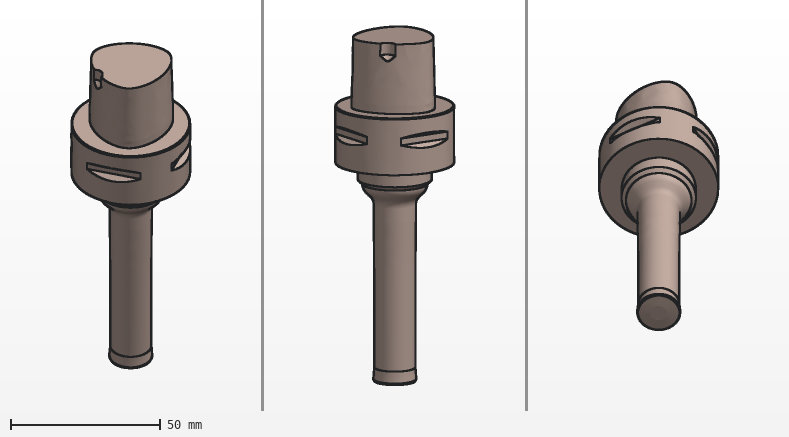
import cadquery as cq
import math

TOP_Z = 119.0
TAPER_BASE_Z = 97.8
POLYGON_RADIUS = 14.0
LOBE_HEIGHT = 1.0
TAPER_RATIO = 1 / 40
OUTLINE_POINTS = 36
POLYGON_TOP_RADIUS = POLYGON_RADIUS - TAPER_RATIO * (TOP_Z - TAPER_BASE_Z)

SLOT_RADIUS = 2.9
SLOT_DEPTH = 4.0
SLOT_INNER_Y = -10.8

FLANGE_DIAMETER = 40.0
FLANGE_TOP_Z = 95.1
FLANGE_BOTTOM_Z = 75.6
FLANGE_CHAMFER = 0.4
GROOVE_MID_Z = 87.0
GROOVE_FLOOR_HEIGHT = 2.4
GROOVE_FLOOR_DISTANCE = 17.6
GROOVE_SIDE_ANGLE = 30
GROOVE_COUNT = 4

COLLAR_DIAMETER = 25.0
NECK_DIAMETER = 22.0
COLLAR_BOTTOM_Z = 69.7
COLLAR_CHAMFER = (COLLAR_DIAMETER - NECK_DIAMETER) / 2
RELIEF_HEIGHT = 0.6
RELIEF_DEPTH = 0.1
NECK_TOP_Z = COLLAR_BOTTOM_Z - COLLAR_CHAMFER
SHOULDER_ANGLE = math.radians(45)
SHOULDER_RADIUS = 3.9

UPPER_SHANK_DIAMETER = 14.3
LOWER_SHANK_DIAMETER = 13.9
SHANK_TAPER_TOP_Z = 56.3
SHANK_TAPER_BOTTOM_Z = 35.9

HEAD_TOP_Z = 5.0
RIM_DIAMETER = 14.5
RIM_Z = 1.0
TIP_CONE_Z = 0.4
TIP_CONE_DIAMETER = 13.9
TIP_FLAT_DIAMETER = 5.7


def revolve_profile(profile):
    return profile.close().revolve(360, (0, 0, 0), (0, 1, 0))


def polygon_point(radius, angle):
    """Point whose tangent is normal to the angle, for support radius + lobe * cos(3 * angle)."""
    phase = 3 * (angle - math.pi / 2)
    support = radius + LOBE_HEIGHT * math.cos(phase)
    slope = -3 * LOBE_HEIGHT * math.sin(phase)
    x = support * math.cos(angle) - slope * math.sin(angle)
    y = support * math.sin(angle) + slope * math.cos(angle)
    return (x, y)


def polygon_outline(plane, radius):
    angles = [2 * math.pi * i / OUTLINE_POINTS for i in range(OUTLINE_POINTS)]
    return plane.spline([polygon_point(radius, angle) for angle in angles], periodic=True).close()


def make_taper():
    base = polygon_outline(cq.Workplane("XY").workplane(offset=FLANGE_TOP_Z), POLYGON_RADIUS)
    base = base.extrude(TAPER_BASE_Z - FLANGE_TOP_Z)
    cone = polygon_outline(cq.Workplane("XY").workplane(offset=TAPER_BASE_Z), POLYGON_RADIUS)
    cone = polygon_outline(cone.workplane(offset=TOP_Z - TAPER_BASE_Z), POLYGON_TOP_RADIUS).loft()
    return base.union(cone)


def make_slot():
    """Vertical round cutter with a 90-degree conical point, lying across the -Y wall."""
    floor_z = TOP_Z - SLOT_DEPTH
    profile = (
        cq.Workplane("XZ")
        .moveTo(0, TOP_Z)
        .lineTo(SLOT_RADIUS, TOP_Z)
        .lineTo(SLOT_RADIUS, floor_z)
        .lineTo(0, floor_z - SLOT_RADIUS)
    )
    return revolve_profile(profile).translate((0, SLOT_INNER_Y - SLOT_RADIUS, 0))


def make_groove(angle):
    """Flat-floored groove with flared sides, cut across the flange at the given angle."""
    depth = FLANGE_DIAMETER / 2 - GROOVE_FLOOR_DISTANCE
    outer_half = GROOVE_FLOOR_HEIGHT / 2 + depth * math.tan(math.radians(GROOVE_SIDE_ANGLE))
    inner_half = GROOVE_FLOOR_HEIGHT / 2
    return (
        cq.Workplane("XZ")
        .moveTo(GROOVE_FLOOR_DISTANCE, GROOVE_MID_Z - inner_half)
        .lineTo(FLANGE_DIAMETER / 2, GROOVE_MID_Z - outer_half)
        .lineTo(FLANGE_DIAMETER / 2, GROOVE_MID_Z + outer_half)
        .lineTo(GROOVE_FLOOR_DISTANCE, GROOVE_MID_Z + inner_half)
        .close()
        .extrude(FLANGE_DIAMETER / 2, both=True)
        .rotate((0, 0, 0), (0, 0, 1), angle)
    )


def make_flange():
    flange = (
        cq.Workplane("XY")
        .workplane(offset=FLANGE_BOTTOM_Z)
        .circle(FLANGE_DIAMETER / 2)
        .extrude(FLANGE_TOP_Z - FLANGE_BOTTOM_Z)
        .faces(">Z")
        .chamfer(FLANGE_CHAMFER)
    )
    step = 360 / GROOVE_COUNT
    for i in range(GROOVE_COUNT):
        flange = flange.cut(make_groove(step * (i + 0.5)))
    return flange


def make_shank():
    """Collar, rounded shoulder and shank as one turned profile."""
    collar = COLLAR_DIAMETER / 2
    neck = NECK_DIAMETER / 2
    upper_shank = UPPER_SHANK_DIAMETER / 2
    lower_shank = LOWER_SHANK_DIAMETER / 2

    arc_run = SHOULDER_RADIUS * (1 - math.cos(SHOULDER_ANGLE))
    arc_drop = SHOULDER_RADIUS * math.sin(SHOULDER_ANGLE)
    mid_run = SHOULDER_RADIUS * (1 - math.cos(SHOULDER_ANGLE / 2))
    mid_drop = SHOULDER_RADIUS * math.sin(SHOULDER_ANGLE / 2)
    cone_run = neck - upper_shank - 2 * arc_run
    shoulder_bottom_z = NECK_TOP_Z - 2 * arc_drop - cone_run / math.tan(SHOULDER_ANGLE)

    profile = (
        cq.Workplane("XZ")
        .moveTo(0, FLANGE_BOTTOM_Z)
        .lineTo(collar - RELIEF_DEPTH, FLANGE_BOTTOM_Z)
        .lineTo(collar, FLANGE_BOTTOM_Z - RELIEF_HEIGHT)
        .lineTo(collar, COLLAR_BOTTOM_Z)
        .lineTo(neck, NECK_TOP_Z)
        .threePointArc((neck - mid_run, NECK_TOP_Z - mid_drop), (neck - arc_run, NECK_TOP_Z - arc_drop))
        .lineTo(upper_shank + arc_run, shoulder_bottom_z + arc_drop)
        .threePointArc(
            (upper_shank + mid_run, shoulder_bottom_z + mid_drop),
            (upper_shank, shoulder_bottom_z),
        )
        .lineTo(upper_shank, SHANK_TAPER_TOP_Z)
        .lineTo(lower_shank, SHANK_TAPER_BOTTOM_Z)
        .lineTo(lower_shank, HEAD_TOP_Z)
        .lineTo(0, HEAD_TOP_Z)
    )
    return revolve_profile(profile)


def make_holder():
    return make_flange().union(make_taper().cut(make_slot())).union(make_shank())


def make_cutting_head():
    profile = (
        cq.Workplane("XZ")
        .moveTo(0, HEAD_TOP_Z)
        .lineTo(LOWER_SHANK_DIAMETER / 2, HEAD_TOP_Z)
        .lineTo(RIM_DIAMETER / 2, RIM_Z)
        .lineTo(TIP_CONE_DIAMETER / 2, TIP_CONE_Z)
        .lineTo(TIP_FLAT_DIAMETER / 2, 0)
        .lineTo(0, 0)
    )
    return revolve_profile(profile)


holder = make_holder()
cutting_head = make_cutting_head()
result = cq.Compound.makeCompound([holder.val(), cutting_head.val()])